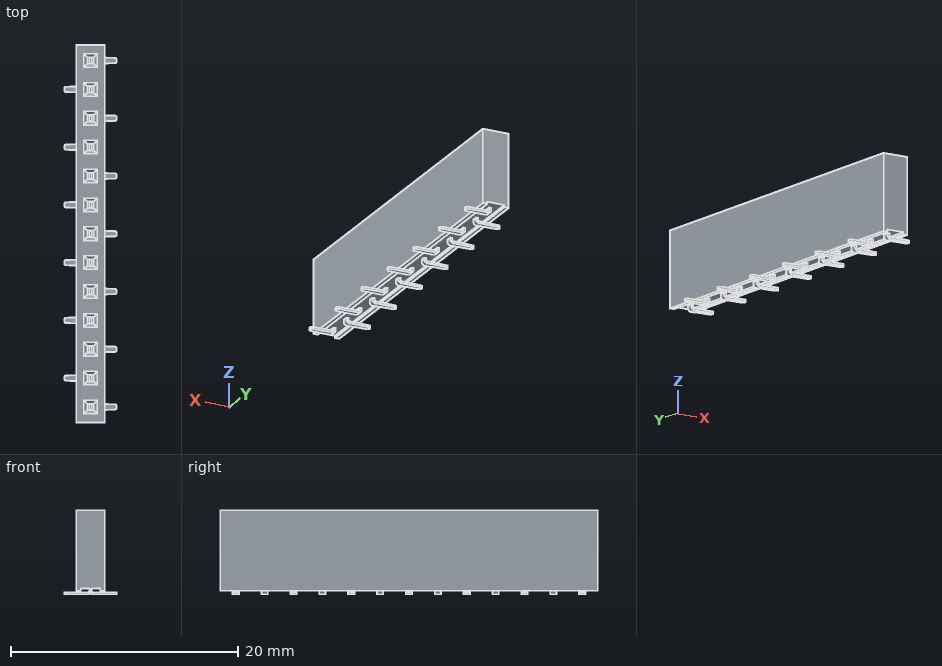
import cadquery as cq
import math


contact_count = 13
pitch = 2.54
end_margin = 0.1
total_height = 7.4
leg_span = 4.64

housing_width = pitch
housing_length = contact_count * pitch + 2 * end_margin
housing_bottom = 0.3
channel_width = 1.68
channel_height = 0.2

mouth_size = 1.2
mouth_depth = 0.3
socket_size = 0.6
socket_depth = 2.5
socket_floor = total_height - mouth_depth - socket_depth

strip_thickness = 0.2
strip_width = 0.58
bend_inner_radius = 0.1
taper_start = 0.5
tip_width = 0.48
tip_radius = 0.22
blade_width = 0.48
blade_height = 0.2


def make_housing():
    """Rectangular bar with a channel along its underside."""
    underside = cq.Workplane("XY").workplane(offset=housing_bottom)
    bar = underside.rect(housing_width, housing_length).extrude(total_height - housing_bottom)
    channel = underside.rect(channel_width, housing_length).extrude(channel_height)
    return bar.cut(channel)


def make_opening(y):
    """Tapered square mouth leading into a square blind socket."""
    mouth = (
        cq.Workplane("XY", origin=(0, y, total_height))
        .rect(mouth_size, mouth_size)
        .workplane(offset=-mouth_depth)
        .rect(socket_size, socket_size)
        .loft(ruled=True)
    )
    socket = (
        cq.Workplane("XY", origin=(0, y, socket_floor))
        .rect(socket_size, socket_size)
        .extrude(socket_depth)
    )
    return mouth.union(socket)


def make_bent_strip():
    """Upright strip bent into a flat leg toward +X, at full width throughout."""
    inner_x = strip_thickness / 2
    outer_x = -inner_x
    outer_radius = bend_inner_radius + strip_thickness
    bend_x = inner_x + bend_inner_radius
    bend_z = outer_radius
    diagonal = math.sqrt(0.5)
    outer_middle = (bend_x - diagonal * outer_radius, bend_z - diagonal * outer_radius)
    inner_middle = (bend_x - diagonal * bend_inner_radius, bend_z - diagonal * bend_inner_radius)
    return (
        cq.Workplane("XZ")
        .moveTo(outer_x, socket_floor)
        .lineTo(outer_x, bend_z)
        .threePointArc(outer_middle, (bend_x, 0))
        .lineTo(leg_span / 2, 0)
        .lineTo(leg_span / 2, strip_thickness)
        .lineTo(bend_x, strip_thickness)
        .threePointArc(inner_middle, (inner_x, bend_z))
        .lineTo(inner_x, socket_floor)
        .close()
        .extrude(strip_width / 2, both=True)
    )


def make_plan_prism():
    """Prism with the plan outline of a contact: a narrowing leg with a rounded tip."""
    prism = (
        cq.Workplane("XY")
        .moveTo(-strip_thickness / 2, -strip_width / 2)
        .lineTo(taper_start, -strip_width / 2)
        .lineTo(leg_span / 2, -tip_width / 2)
        .lineTo(leg_span / 2, tip_width / 2)
        .lineTo(taper_start, strip_width / 2)
        .lineTo(-strip_thickness / 2, strip_width / 2)
        .close()
        .extrude(socket_floor)
    )
    return prism.faces(">X").edges("|Z").fillet(tip_radius)


def make_contact():
    """One contact on the origin, with its leg toward +X and its blade inside the socket."""
    blade = (
        cq.Workplane("XY", origin=(0, 0, socket_floor))
        .rect(strip_thickness, blade_width)
        .extrude(blade_height)
    )
    return make_bent_strip().intersect(make_plan_prism()).union(blade)


right_contact = make_contact()
left_contact = right_contact.mirror("YZ")

result = make_housing()
for index in range(contact_count):
    contact_y = (index - (contact_count - 1) / 2) * pitch
    contact = right_contact if index % 2 == 0 else left_contact
    result = result.cut(make_opening(contact_y))
    result = result.union(contact.translate((0, contact_y, 0)))